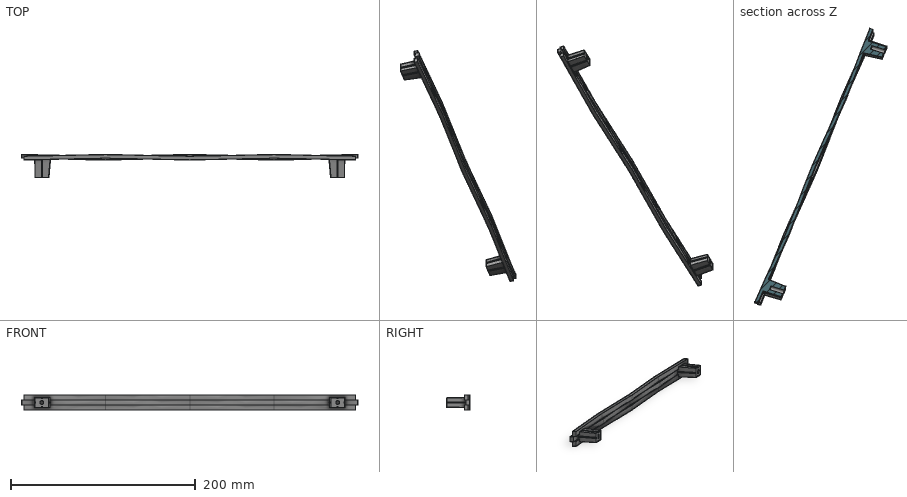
import cadquery as cq
import math

RAIL_LENGTH = 364.0
RAIL_HEIGHT = 16.5
STRIP_THICKNESS = 4.0
WAVE_HEIGHT = 2.0
SEGMENT_COUNT = 4
SIDE_STRIP_SETBACK = 2.5

POST_SPACING = 320.0
POST_OUTER_REACH = 7.45
POST_INNER_REACH = 7.1
POST_TIP_HEIGHT = 10.3
POST_DRAFT = 1.0
POST_INNER_DRAFT = 5.0
TOTAL_DEPTH = 25.0
GROOVE_WIDTH = 1.2
GROOVE_DEPTH = 0.8
RIB_WIDTH = 1.2
RIB_PROTRUSION = 0.6
HOLE_DIAMETER = 4.0
HOLE_DEPTH = 15.0

STRIP_HEIGHT = RAIL_HEIGHT / 3
SEGMENT_LENGTH = RAIL_LENGTH / SEGMENT_COUNT
RAIL_BACK_Y = WAVE_HEIGHT / 2 + STRIP_THICKNESS / 2
POST_TIP_Y = RAIL_BACK_Y - TOTAL_DEPTH
POST_LENGTH = -POST_TIP_Y
POST_X = -POST_SPACING / 2
DRAFT_GROWTH = POST_LENGTH * math.tan(math.radians(POST_DRAFT))
INNER_DRAFT_GROWTH = POST_LENGTH * math.tan(math.radians(POST_INNER_DRAFT))
GROOVE_END_Y = -STRIP_THICKNESS / 2 + WAVE_HEIGHT / 2


def wave_points(first_sign, y_offset):
    """Crest and trough points along the rail, starting on the first_sign side."""
    points = []
    for i in range(SEGMENT_COUNT + 1):
        sign = first_sign * (-1) ** i
        x = -RAIL_LENGTH / 2 + i * SEGMENT_LENGTH
        points.append((x, y_offset + sign * WAVE_HEIGHT / 2))
    return points


def wavy_strip(first_sign, z_bottom):
    """Strip of constant thickness that weaves in Y, level at every crest and trough."""
    back = wave_points(first_sign, STRIP_THICKNESS / 2)
    front = wave_points(first_sign, -STRIP_THICKNESS / 2)[::-1]
    sketch = cq.Workplane("XY", origin=(0, 0, z_bottom)).moveTo(*back[0])
    for point in back[1:]:
        sketch = sketch.spline([point], tangents=[(1, 0), (1, 0)], includeCurrent=True)
    sketch = sketch.lineTo(*front[0])
    for point in front[1:]:
        sketch = sketch.spline([point], tangents=[(-1, 0), (-1, 0)], includeCurrent=True)
    return sketch.close().extrude(STRIP_HEIGHT)


def side_strip(z_bottom):
    """Outer strip, in opposite phase to the middle strip and cut shorter."""
    keep_length = RAIL_LENGTH - 2 * SIDE_STRIP_SETBACK
    keep = cq.Workplane("XY").box(keep_length, TOTAL_DEPTH, 2 * RAIL_HEIGHT)
    return wavy_strip(-1, z_bottom).intersect(keep)


def make_rail():
    middle = wavy_strip(1, -STRIP_HEIGHT / 2)
    upper = side_strip(STRIP_HEIGHT / 2)
    lower = side_strip(-RAIL_HEIGHT / 2)
    return middle.union(upper).union(lower)


def tapered_block(outer_x, inner_x, tip_height, height_growth):
    """Block from the rail's mid plane to the post tip, sized at the tip and wider at the rail."""
    root_outer_x = outer_x - DRAFT_GROWTH
    root_inner_x = inner_x + INNER_DRAFT_GROWTH
    root_height = tip_height + 2 * height_growth
    root_center = (root_outer_x + root_inner_x) / 2
    tip_center = (outer_x + inner_x) / 2
    return (
        cq.Workplane("XZ")
        .center(root_center, 0)
        .rect(root_inner_x - root_outer_x, root_height)
        .workplane(offset=POST_LENGTH)
        .center(tip_center - root_center, 0)
        .rect(inner_x - outer_x, tip_height)
        .loft(ruled=True)
    )


def groove_cutter(side_x, side_z):
    """Cutter for the groove along one side; (side_x, side_z) points out of that side."""
    size_x = 2 * GROOVE_DEPTH if side_x else GROOVE_WIDTH
    size_z = 2 * GROOVE_DEPTH if side_z else GROOVE_WIDTH
    length = GROOVE_END_Y - POST_TIP_Y
    center = (
        POST_X + side_x * POST_OUTER_REACH,
        (GROOVE_END_Y + POST_TIP_Y) / 2,
        side_z * POST_TIP_HEIGHT / 2,
    )
    return cq.Workplane("XY").box(size_x, length, size_z).translate(center)


def make_post():
    """Left-hand post: three grooved sides, a rib on the inner side, a blind hole in the tip."""
    outer_x = POST_X - POST_OUTER_REACH
    inner_x = POST_X + POST_INNER_REACH
    post = tapered_block(outer_x, inner_x, POST_TIP_HEIGHT, DRAFT_GROWTH)
    post = post.union(tapered_block(POST_X, inner_x + RIB_PROTRUSION, RIB_WIDTH, 0))
    for side in [(-1, 0), (0, -1), (0, 1)]:
        post = post.cut(groove_cutter(*side))
    hole = (
        cq.Workplane("XZ", origin=(POST_X, POST_TIP_Y, 0))
        .circle(HOLE_DIAMETER / 2)
        .extrude(-HOLE_DEPTH)
    )
    return post.cut(hole)


post = make_post()
result = make_rail().union(post).union(post.mirror("YZ"))